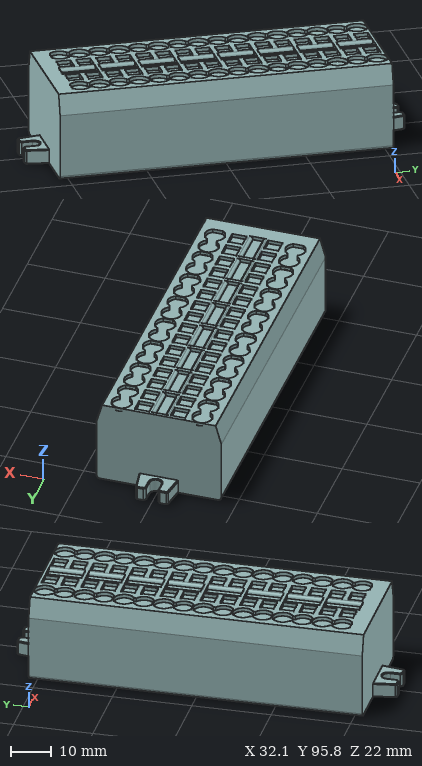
import cadquery as cq
import math

overall_length = 95.8
body_width = 32.1
body_height = 22.0
body_length = 84.1
bevel_width = 1.4
bevel_height = 5.1
bottom_edge_radius = 1.0

tab_height = 3.7
tab_tip_half_width = 4.1
tab_side_angle = 9.0
tab_overlap = 1.0
tab_corner_chamfer = 0.4
slot_mouth_chamfer = 0.6
tab_edge_chamfer = 0.24
slot_radius = 1.5
slot_center_depth = 3.2

pair_count = 8
poles_per_pair = 2
pole_span = 75.0
first_pole_y = 39.4
pole_pitch = pole_span / (pair_count * poles_per_pair - 1)
pair_pitch = poles_per_pair * pole_pitch
pocket_depth = 1.0

entry_x = 10.3
entry_diameter = 5.1
entry_radius = entry_diameter / 2
entry_flat_offset = 2.2
neck_width = 2.6
pair_front_y = -pole_pitch / 2 - entry_flat_offset

window_x = 4.6
window_width = 3.7
window_length = 3.5

channel_floor_width = 2.6
channel_length = 9.0
channel_lip_radius = 0.9


def make_body():
    half_width = body_width / 2
    outline = (
        cq.Workplane("XZ")
        .moveTo(-half_width, 0)
        .lineTo(half_width, 0)
        .lineTo(half_width, body_height - bevel_height)
        .lineTo(half_width - bevel_width, body_height)
        .lineTo(bevel_width - half_width, body_height)
        .lineTo(-half_width, body_height - bevel_height)
        .close()
    )
    body = outline.extrude(body_length / 2, both=True)
    return body.edges("|Y and <Z").fillet(bottom_edge_radius)


def make_tab():
    """Forked tab on the +Y end; its root is buried in the housing."""
    tip_y = overall_length / 2
    root_y = body_length / 2 - tab_overlap
    root_half_width = tab_tip_half_width + (tip_y - root_y) * math.tan(math.radians(tab_side_angle))
    slot_center_y = tip_y - slot_center_depth
    tab = (
        cq.Workplane("XY")
        .moveTo(-root_half_width, root_y)
        .lineTo(root_half_width, root_y)
        .lineTo(tab_tip_half_width, tip_y)
        .lineTo(slot_radius, tip_y)
        .lineTo(slot_radius, slot_center_y)
        .threePointArc((0, slot_center_y - slot_radius), (-slot_radius, slot_center_y))
        .lineTo(-slot_radius, tip_y)
        .lineTo(-tab_tip_half_width, tip_y)
        .close()
        .extrude(tab_height)
    )
    tab = tab.edges("|Z and >Y").edges("<X or >X").chamfer(tab_corner_chamfer)
    mouth = cq.selectors.BoxSelector(
        (-tab_tip_half_width / 2, tip_y - slot_radius, 0),
        (tab_tip_half_width / 2, tip_y + slot_radius, tab_height),
    )
    tab = tab.edges("|Z").edges(mouth).chamfer(slot_mouth_chamfer)
    return tab.faces("<Z or >Z").edges().chamfer(tab_edge_chamfer)


def make_wire_entry():
    """Wire-entry pocket for one pair, centred on the origin, top at Z = 0."""
    holes = (
        cq.Workplane("XY")
        .pushPoints([(0, -pole_pitch / 2), (0, pole_pitch / 2)])
        .circle(entry_radius)
        .extrude(-pocket_depth)
    )
    neck = cq.Workplane("XY").rect(neck_width, pole_pitch).extrude(-pocket_depth)
    beyond_flat = (
        cq.Workplane("XY")
        .center(0, pair_front_y - entry_radius / 2)
        .rect(entry_diameter, entry_radius)
        .extrude(-pocket_depth)
    )
    return holes.union(neck).cut(beyond_flat)


def make_channel():
    """Marker channel for one pair, widening through convex lips to the top at Z = 0."""
    floor_x = channel_floor_width / 2
    lip_x = floor_x + channel_lip_radius
    mid_drop = channel_lip_radius * (1 - math.sqrt(0.5))
    return (
        cq.Workplane("XZ")
        .moveTo(-floor_x, -pocket_depth)
        .lineTo(floor_x, -pocket_depth)
        .lineTo(floor_x, -channel_lip_radius)
        .threePointArc((floor_x + mid_drop, -mid_drop), (lip_x, 0))
        .lineTo(-lip_x, 0)
        .threePointArc((-floor_x - mid_drop, -mid_drop), (-floor_x, -channel_lip_radius))
        .close()
        .extrude(channel_length / 2, both=True)
    )


def make_pair_pockets():
    """All pockets of one terminal pair, centred on the origin, top at Z = 0."""
    windows = (
        cq.Workplane("XY")
        .rarray(2 * window_x, pole_pitch, 2, poles_per_pair)
        .rect(window_width, window_length)
        .extrude(-pocket_depth)
    )
    channel_y = pair_front_y + channel_length / 2
    pockets = windows.union(make_channel().translate((0, channel_y, 0)))
    for side in (-1, 1):
        pockets = pockets.union(make_wire_entry().translate((side * entry_x, 0, 0)))
    return pockets


tab = make_tab()
result = make_body().union(tab).union(tab.mirror("XZ"))

pair_pockets = make_pair_pockets()
for pair in range(pair_count):
    pair_y = first_pole_y - pole_pitch / 2 - pair * pair_pitch
    result = result.cut(pair_pockets.translate((0, pair_y, body_height)))